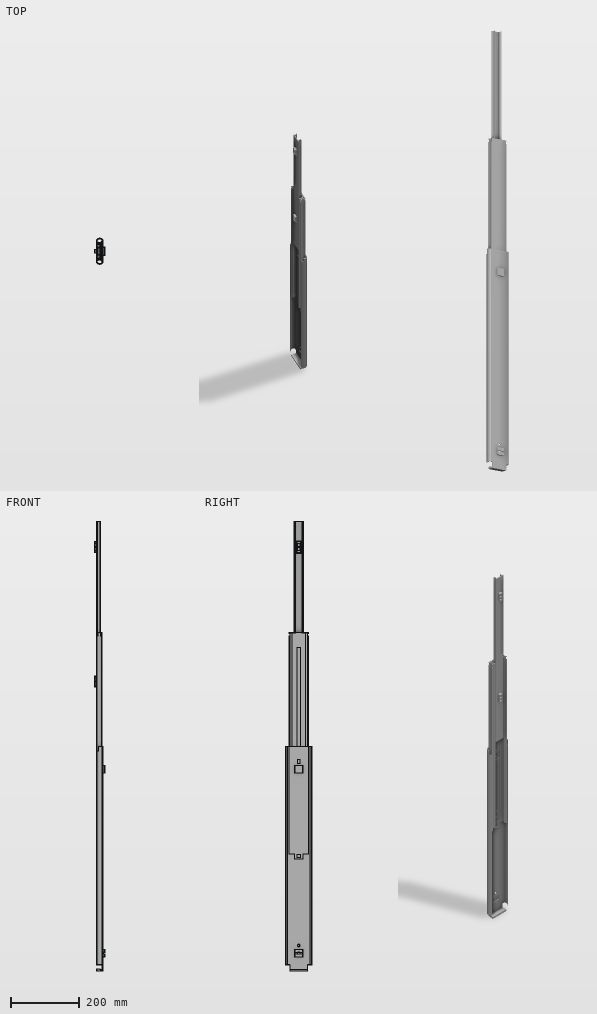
import cadquery as cq

SHEET = 2.0
RACE_DEPTH = 3.3
OUTER_RACE_DEPTH = 6.0
TIP_X = -9.0
BACK_X = 9.0
HOOK_REACH = 15.2

OUTER_BOTTOM, OUTER_TOP = 18.0, 660.0
MIDDLE_BOTTOM, MIDDLE_TOP = 343.0, 995.0
RACE_BOTTOM = 351.0
INNER_BOTTOM, INNER_TOP = 684.0, 1321.0

OUTER_HALF = 38.0
MIDDLE_HALF = 29.0
RACE_HALF = 22.0
INNER_HALF = 15.0

MIDDLE_BACK = BACK_X - SHEET
RACE_BACK = MIDDLE_BACK - SHEET
INNER_FRONT = 2.0

LIP_CUT_HEIGHT = 15.0
LIP_CUT_X = -4.0
TAB_HALF = 26.0
LIP_THICK = 4.0
LIP_EDGE_DEPTH = 10.0
LIP_EDGE_HEIGHT = 7.0
OUTER_HOOK_HALF = 12.0
OUTER_HOOK_HEIGHT = 22.0
OUTER_HOOK_CENTRES = (53.0, 593.0)
HOOK_POCKET_HALF = 10.0
HOOK_POCKET_HEIGHT = 17.0
HOOK_GAP = 4.0
HOOK_SLIT_HALF = 3.3
PILOT_Z = 75.0
PILOT_DIAMETER = 7.0

NOTCH_Z = (984.0, 992.0)
NOTCH_HALF = 26.0
STOP_HALF = 12.0
STOP_BOTTOM = 329.0
STOP_HOLE_HALF = 5.0
STOP_HOLE_Z = (334.0, 342.0)
CATCH_HOLE_Z = 615.0
CATCH_HOLE_WIDTH = 7.0
CATCH_HOLE_HEIGHT = 10.0

WINDOW_Z = (600.0, 627.0)
WINDOW_HALF = 13.0
SLOT_HALF = 4.6
SLOT_RANGES = ((376.0, 391.0), (399.0, 593.0), (634.0, 951.0))
BAND_HALF = 10.0
BAND_DEPTH = 0.9
END_HOLE_HALF = 8.0
END_HOLE_Z = (355.0, 369.0)

INNER_HOOK_HALF = 5.0
INNER_HOOK_HEIGHT = 32.0
INNER_HOOK_CENTRES = (850.0, 1245.0)
HOOK_RECESS_MARGIN = 3.0
HOOK_RECESS_DEPTH = 0.9
HOOK_WINDOW_WIDTH = 7.0
HOOK_WINDOW_HEIGHT = 9.0
HOOK_WINDOW_PITCH = 12.0


def block(x_range, half_width, z_range):
    """Box symmetric about Y = 0."""
    (x0, x1), (z0, z1) = x_range, z_range
    centre = ((x0 + x1) / 2, 0, (z0 + z1) / 2)
    return cq.Workplane("XY").box(x1 - x0, 2 * half_width, z1 - z0).translate(centre)


def channel(web_x, tip_x, edge_half, bow, z_range):
    """Channel with its web outside at web_x and flanges bowed in Y by bow (positive is outward)."""
    z0, z1 = z_range
    inward = SHEET if tip_x > web_x else -SHEET
    mid_x = (web_x + tip_x) / 2
    inside = edge_half - SHEET
    body = block(sorted((web_x, web_x + inward)), edge_half, z_range)
    flange = (
        cq.Workplane("XY", origin=(0, 0, z0))
        .moveTo(web_x, edge_half)
        .threePointArc((mid_x, edge_half + bow), (tip_x, edge_half))
        .lineTo(tip_x, inside)
        .threePointArc((mid_x, inside + bow), (web_x, inside))
        .close()
        .extrude(z1 - z0)
    )
    return body.union(flange).union(flange.mirror("XZ"))


def make_outer_rail():
    edge_half = OUTER_HALF - OUTER_RACE_DEPTH
    rail = channel(BACK_X, TIP_X, edge_half, OUTER_RACE_DEPTH, (OUTER_BOTTOM, OUTER_TOP))
    rail = rail.cut(block((TIP_X, LIP_CUT_X), OUTER_HALF, (OUTER_TOP - LIP_CUT_HEIGHT, OUTER_TOP)))
    rail = rail.union(block((MIDDLE_BACK, BACK_X), TAB_HALF, (0, OUTER_BOTTOM)))
    rail = rail.union(block((TIP_X, BACK_X), TAB_HALF, (0, LIP_THICK)))
    rail = rail.union(block((TIP_X, TIP_X + LIP_EDGE_DEPTH), TAB_HALF, (0, LIP_EDGE_HEIGHT)))
    for z in OUTER_HOOK_CENTRES:
        hook_z = (z - OUTER_HOOK_HEIGHT / 2, z + OUTER_HOOK_HEIGHT / 2)
        pocket_z = (z - HOOK_POCKET_HEIGHT / 2, z + HOOK_POCKET_HEIGHT / 2)
        rail = rail.union(block((MIDDLE_BACK, HOOK_REACH), OUTER_HOOK_HALF, hook_z))
        rail = rail.cut(block((MIDDLE_BACK, BACK_X), HOOK_POCKET_HALF, pocket_z))
    z = OUTER_HOOK_CENTRES[0]
    gap_z = (z - HOOK_GAP / 2, z + HOOK_GAP / 2)
    rail = rail.cut(block((BACK_X + SHEET, HOOK_REACH), OUTER_HOOK_HALF, gap_z))
    rail = rail.cut(block((MIDDLE_BACK, HOOK_REACH), HOOK_SLIT_HALF, gap_z))
    pilot = (
        cq.Workplane("YZ", origin=(MIDDLE_BACK, 0, PILOT_Z))
        .circle(PILOT_DIAMETER / 2)
        .extrude(SHEET)
    )
    return rail.cut(pilot)


def make_middle_channel():
    rail = channel(MIDDLE_BACK, TIP_X, MIDDLE_HALF, -RACE_DEPTH, (MIDDLE_BOTTOM, MIDDLE_TOP))
    notches = block((TIP_X, MIDDLE_BACK), MIDDLE_HALF, NOTCH_Z).cut(
        block((TIP_X, MIDDLE_BACK), NOTCH_HALF, NOTCH_Z)
    )
    rail = rail.cut(notches)
    rail = rail.union(block((RACE_BACK, MIDDLE_BACK), STOP_HALF, (STOP_BOTTOM, MIDDLE_BOTTOM)))
    rail = rail.cut(block((RACE_BACK, MIDDLE_BACK), STOP_HOLE_HALF, STOP_HOLE_Z))
    catch_z = (CATCH_HOLE_Z - CATCH_HOLE_HEIGHT / 2, CATCH_HOLE_Z + CATCH_HOLE_HEIGHT / 2)
    return rail.cut(block((RACE_BACK, MIDDLE_BACK), CATCH_HOLE_WIDTH / 2, catch_z))


def make_race_channel():
    edge_half = RACE_HALF - RACE_DEPTH
    web = (RACE_BACK - SHEET, RACE_BACK)
    rail = channel(RACE_BACK, TIP_X, edge_half, RACE_DEPTH, (RACE_BOTTOM, MIDDLE_TOP))
    band_x = (web[0], web[0] + BAND_DEPTH)
    rail = rail.cut(block(band_x, BAND_HALF, (RACE_BOTTOM, SLOT_RANGES[-1][1])))
    rail = rail.cut(block(web, WINDOW_HALF, WINDOW_Z))
    rail = rail.cut(block(web, END_HOLE_HALF, END_HOLE_Z))
    for slot_z in SLOT_RANGES:
        rail = rail.cut(block(web, SLOT_HALF, slot_z))
    return rail


def make_inner_rail():
    rail = channel(TIP_X, INNER_FRONT, INNER_HALF, -RACE_DEPTH, (INNER_BOTTOM, INNER_TOP))
    for z in INNER_HOOK_CENTRES:
        border = INNER_HOOK_HEIGHT / 2 + HOOK_RECESS_MARGIN
        recess_x = (TIP_X, TIP_X + HOOK_RECESS_DEPTH)
        rail = rail.cut(block(recess_x, INNER_HOOK_HALF + HOOK_RECESS_MARGIN, (z - border, z + border)))
        hook_z = (z - INNER_HOOK_HEIGHT / 2, z + INNER_HOOK_HEIGHT / 2)
        rail = rail.union(block((-HOOK_REACH, recess_x[1]), INNER_HOOK_HALF, hook_z))
        for side in (-1, 1):
            window = z + side * HOOK_WINDOW_PITCH / 2
            window_z = (window - HOOK_WINDOW_HEIGHT / 2, window + HOOK_WINDOW_HEIGHT / 2)
            rail = rail.cut(block((-HOOK_REACH, TIP_X), HOOK_WINDOW_WIDTH / 2, window_z))
    return rail


outer_rail = make_outer_rail()
middle_channel = make_middle_channel()
race_channel = make_race_channel()
inner_rail = make_inner_rail()

result = cq.Compound.makeCompound(
    [outer_rail.val(), middle_channel.val(), race_channel.val(), inner_rail.val()]
)